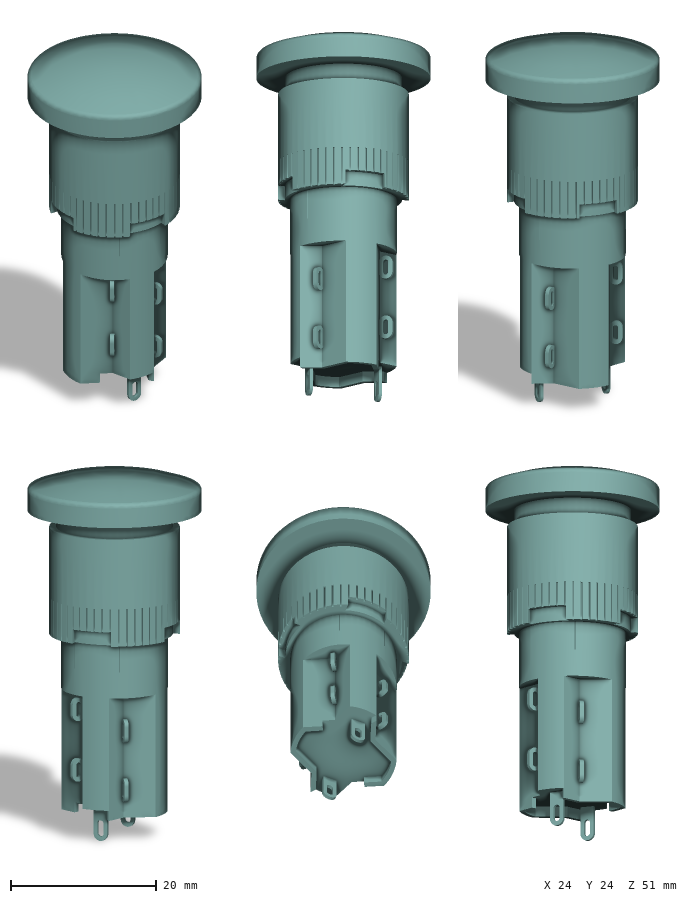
import cadquery as cq
import math

TOTAL_HEIGHT = 51.0
CAP_BOTTOM = 45.5
COLLAR_TOP = 43.25
FLUTE_TOP = 33.45
WINDOW_TOP = 30.2
COLLAR_BOTTOM = 28.2
NOTCH_TOP = 20.55
FLOOR = 4.75
BODY_BOTTOM = 3.3

CAP_DIAMETER = 24.0
DOME_RADIUS = 33.65
CAP_EDGE_FILLET = 0.7
NECK_DIAMETER = 16.1

COLLAR_DIAMETER = 18.0
FLUTE_COUNT = 50
FLUTE_WIDTH = 0.23
FLUTE_DEPTH = 0.3
WINDOW_WIDTH = 5.7
SLEEVE_DIAMETER = 16.1

BODY_DIAMETER = 14.7
NOTCH_CORNER = (4.25, 3.0)
NOTCH_X_END = (7.15, 1.95)
NOTCH_Y_END = (2.2, 7.1)
OUTSIDE = 10.2

SKIRT_WALL = 0.7
OPENING_INNER_Y = 1.5
OPENING_INNER_X = 6.5
SKIRT_END_INNER = (2.8, -4.25)
SKIRT_END_SLOPE = -0.52

SLIT_OFFSET = 3.35
SLIT_WIDTH = 0.075
SLIT_DEPTH = 0.15
SLIT_BOTTOM = 24.2

LUG_INNER_RADIUS = 5.15
LUG_OUTER_RADIUS = 7.05
LUG_HEIGHT = 3.25
LUG_THICKNESS = 0.55
LUG_HOLE_WIDTH = 0.7
LUG_HOLE_HEIGHT = 2.1
LOW_LUG_HEIGHTS = (7.4, 15.7)
HIGH_LUG_HEIGHTS = (9.7, 18.2)

TERMINAL_X = 5.05
TERMINAL_WIDTH = 2.0
TERMINAL_THICKNESS = 0.45
TERMINAL_ROOT = 0.5
TERMINAL_HOLE_WIDTH = 0.9
TERMINAL_HOLE_HEIGHT = 2.3
TERMINAL_HOLE_BOTTOM = 0.6

BODY_RADIUS = BODY_DIAMETER / 2
COLLAR_RADIUS = COLLAR_DIAMETER / 2


def cylinder(diameter, bottom, top):
    return cq.Workplane("XY").workplane(offset=bottom).circle(diameter / 2).extrude(top - bottom)


def prism(points, bottom, top):
    return cq.Workplane("XY").workplane(offset=bottom).polyline(points).close().extrude(top - bottom)


def turned(shape, angle):
    return shape.rotate((0, 0, 0), (0, 0, 1), angle)


def make_cap():
    """Disc with a domed top and a rounded rim."""
    radius = CAP_DIAMETER / 2

    def dome_height(r):
        return TOTAL_HEIGHT - DOME_RADIUS + math.sqrt(DOME_RADIUS**2 - r**2)

    profile = (
        cq.Workplane("XZ")
        .moveTo(0, CAP_BOTTOM)
        .lineTo(radius, CAP_BOTTOM)
        .lineTo(radius, dome_height(radius))
        .threePointArc((radius / 2, dome_height(radius / 2)), (0, TOTAL_HEIGHT))
        .close()
    )
    cap = profile.revolve(360, (0, 0, 0), (0, 1, 0))
    return cap.faces(">Z").edges("<Z").fillet(CAP_EDGE_FILLET)


def make_collar():
    """Ring with vertical flutes and a window on each of its four sides, around a plain sleeve."""
    collar = cylinder(COLLAR_DIAMETER, COLLAR_BOTTOM, COLLAR_TOP)
    window = cq.Workplane("XY").box(
        COLLAR_DIAMETER, WINDOW_WIDTH, WINDOW_TOP - COLLAR_BOTTOM, centered=(False, True, False)
    )
    window = window.translate((0, 0, COLLAR_BOTTOM))
    for side in range(4):
        collar = collar.cut(turned(window, 90 * side))
    collar = collar.union(cylinder(SLEEVE_DIAMETER, COLLAR_BOTTOM, COLLAR_TOP))

    flute = cq.Workplane("XY").box(
        2 * FLUTE_DEPTH, FLUTE_WIDTH, FLUTE_TOP - COLLAR_BOTTOM, centered=(True, True, False)
    )
    flute = flute.translate((COLLAR_RADIUS, 0, COLLAR_BOTTOM))
    pitch = 360 / FLUTE_COUNT
    flutes = [turned(flute, (i + 0.5) * pitch).val() for i in range(FLUTE_COUNT)]
    return collar.cut(cq.Workplane(cq.Compound.makeCompound(flutes)))


def notch_outline(bottom):
    points = [
        NOTCH_CORNER,
        NOTCH_X_END,
        (OUTSIDE, NOTCH_X_END[1]),
        (OUTSIDE, OUTSIDE),
        (NOTCH_Y_END[0], OUTSIDE),
        NOTCH_Y_END,
    ]
    return cq.Workplane("XY").workplane(offset=bottom).polyline(points).close()


def in_four_quadrants(shape):
    """The shape and its mirror images about the X and Y axes."""
    pair = [shape, shape.mirror("XZ")]
    return pair + [item.mirror("YZ") for item in pair]


def make_skirt_cavity():
    """Hollow below the floor that leaves a wall of even thickness."""
    height = FLOOR - BODY_BOTTOM
    cavity = cylinder(BODY_DIAMETER - 2 * SKIRT_WALL, BODY_BOTTOM, FLOOR)
    kept = notch_outline(BODY_BOTTOM).offset2D(SKIRT_WALL, "intersection").extrude(height)
    for piece in in_four_quadrants(kept):
        cavity = cavity.cut(piece)
    return cavity


def make_skirt_opening():
    """Gap on the +X side, reaching into the notch in the +X -Y quadrant."""
    inner_x, inner_y = SKIRT_END_INNER
    reach = OUTSIDE - NOTCH_X_END[0]
    points = [
        SKIRT_END_INNER,
        (inner_x, OPENING_INNER_Y),
        (OPENING_INNER_X, OPENING_INNER_Y),
        NOTCH_X_END,
        (OUTSIDE, NOTCH_X_END[1] + reach),
        (OUTSIDE, inner_y + SKIRT_END_SLOPE * (OUTSIDE - inner_x)),
    ]
    return prism(points, BODY_BOTTOM, FLOOR)


def make_body():
    body = cylinder(BODY_DIAMETER, BODY_BOTTOM, COLLAR_TOP)
    notch = notch_outline(BODY_BOTTOM).extrude(NOTCH_TOP - BODY_BOTTOM)
    for piece in in_four_quadrants(notch):
        body = body.cut(piece)

    body = body.cut(make_skirt_cavity())
    opening = make_skirt_opening()
    for angle in (0, 180):
        body = body.cut(turned(opening, angle))

    slit_x = math.sqrt(BODY_RADIUS**2 - SLIT_OFFSET**2)
    slit = cq.Workplane("XY").box(
        2 * SLIT_DEPTH, SLIT_WIDTH, COLLAR_BOTTOM - SLIT_BOTTOM, centered=(True, True, False)
    )
    slit = slit.translate((slit_x, SLIT_OFFSET, SLIT_BOTTOM))
    for piece in in_four_quadrants(slit):
        body = body.cut(piece)
    return body


def make_lug(z):
    """Upright oval plate with a slotted hole, along the diagonal of the +X +Y notch."""
    width = LUG_OUTER_RADIUS - LUG_INNER_RADIUS
    middle = (LUG_INNER_RADIUS + LUG_OUTER_RADIUS) / 2
    lug = (
        cq.Workplane("XZ")
        .center(middle, z)
        .slot2D(LUG_HEIGHT, width, 90)
        .slot2D(LUG_HOLE_HEIGHT, LUG_HOLE_WIDTH, 90)
        .extrude(LUG_THICKNESS / 2, both=True)
    )
    diagonal = math.degrees(math.atan2(NOTCH_CORNER[1], NOTCH_CORNER[0]))
    return turned(lug, diagonal)


def make_lugs():
    """Low lugs in the +X +Y and -X -Y notches, high lugs in the other two."""
    lugs = []
    for z in LOW_LUG_HEIGHTS:
        lugs.append(make_lug(z))
    for z in HIGH_LUG_HEIGHTS:
        lugs.append(make_lug(z).mirror("XZ"))
    return lugs + [turned(lug, 180) for lug in lugs]


def make_terminal(x):
    """Flat terminal under the floor, with a round tip and a slotted hole."""
    radius = TERMINAL_WIDTH / 2
    top = FLOOR + TERMINAL_ROOT
    plate = (
        cq.Workplane("YZ")
        .moveTo(-radius, top)
        .lineTo(-radius, radius)
        .threePointArc((0, 0), (radius, radius))
        .lineTo(radius, top)
        .close()
        .extrude(TERMINAL_THICKNESS / 2, both=True)
    )
    hole = (
        cq.Workplane("YZ")
        .center(0, TERMINAL_HOLE_BOTTOM + TERMINAL_HOLE_HEIGHT / 2)
        .slot2D(TERMINAL_HOLE_HEIGHT, TERMINAL_HOLE_WIDTH, 90)
        .extrude(TERMINAL_THICKNESS, both=True)
    )
    return plate.cut(hole).translate((x, 0, 0))


result = make_body().union(make_collar())
result = result.union(cylinder(NECK_DIAMETER, COLLAR_TOP, CAP_BOTTOM))
result = result.union(make_cap())
for lug in make_lugs():
    result = result.union(lug)
for terminal_x in (-TERMINAL_X, TERMINAL_X):
    result = result.union(make_terminal(terminal_x))